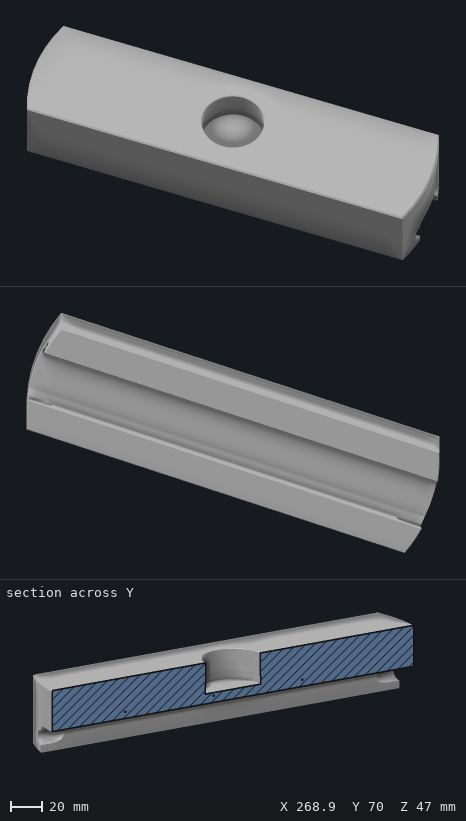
import cadquery as cq
import math

LENGTH = 268.85
WIDTH = 70.0
HEIGHT = 47.0
END_RADIUS = 95.5
TOP_CHAMFER = 1.0
BOTTOM_CHAMFER = 0.5

SLOT_WIDTH = 33.0
SLOT_HEIGHT = 19.0
SLOT_CORNER_RADIUS = 5.0

POCKET_DIAMETER = 44.0
POCKET_THICKNESS = 10.0
POCKET_CENTRE_HEIGHT = 10.2
POCKET_INSET = 4.0

BORE_DIAMETER = 40.0
BORE_DEPTH = 21.0
RELIEF_DIAMETER = 41.0
RELIEF_HEIGHT = 6.0
BORE_CHAMFER = 0.5


def make_bar():
    """Bar whose two ends are arcs, with its top and bottom rims chamfered."""
    end_x = LENGTH / 2
    half_width = WIDTH / 2
    end_bulge = END_RADIUS - math.sqrt(END_RADIUS**2 - half_width**2)
    corner_x = end_x - end_bulge
    bar = (
        cq.Workplane("XY")
        .moveTo(-corner_x, -half_width)
        .lineTo(corner_x, -half_width)
        .threePointArc((end_x, 0), (corner_x, half_width))
        .lineTo(-corner_x, half_width)
        .threePointArc((-end_x, 0), (-corner_x, -half_width))
        .close()
        .extrude(HEIGHT)
    )
    bar = bar.faces(">Z").chamfer(TOP_CHAMFER)
    return bar.faces("<Z").chamfer(BOTTOM_CHAMFER)


def make_slot():
    """Channel along X, open at the bottom, with rounded upper corners."""
    return (
        cq.Workplane("XY")
        .box(LENGTH, SLOT_WIDTH, SLOT_HEIGHT, centered=(True, True, False))
        .edges("|X and >Z")
        .fillet(SLOT_CORNER_RADIUS)
    )


def make_end_pocket(end):
    """Flat disc with a fully rounded rim; end is -1 or 1."""
    rim_radius = POCKET_THICKNESS / 2
    outer_radius = POCKET_DIAMETER / 2
    flat_radius = outer_radius - rim_radius
    disc = (
        cq.Workplane("XZ")
        .moveTo(0, -rim_radius)
        .lineTo(flat_radius, -rim_radius)
        .threePointArc((outer_radius, 0), (flat_radius, rim_radius))
        .lineTo(0, rim_radius)
        .close()
        .revolve(360, (0, 0, 0), (0, 1, 0))
    )
    return disc.translate((end * (LENGTH / 2 - POCKET_INSET), 0, POCKET_CENTRE_HEIGHT))


def make_bore():
    """Blind bore from the top face: chamfered mouth, plain wall and floor relief."""
    floor_z = HEIGHT - BORE_DEPTH
    bore_radius = BORE_DIAMETER / 2
    bore = cq.Workplane("XY", origin=(0, 0, floor_z)).circle(bore_radius).extrude(BORE_DEPTH)
    relief = cq.Workplane("XY", origin=(0, 0, floor_z)).circle(RELIEF_DIAMETER / 2).extrude(RELIEF_HEIGHT)
    mouth = cq.Solid.makeCone(
        bore_radius,
        bore_radius + BORE_CHAMFER,
        BORE_CHAMFER,
        cq.Vector(0, 0, HEIGHT - BORE_CHAMFER),
    )
    return bore.union(relief).union(cq.Workplane(mouth))


result = make_bar().cut(make_slot()).cut(make_bore())
for end in (-1, 1):
    result = result.cut(make_end_pocket(end))